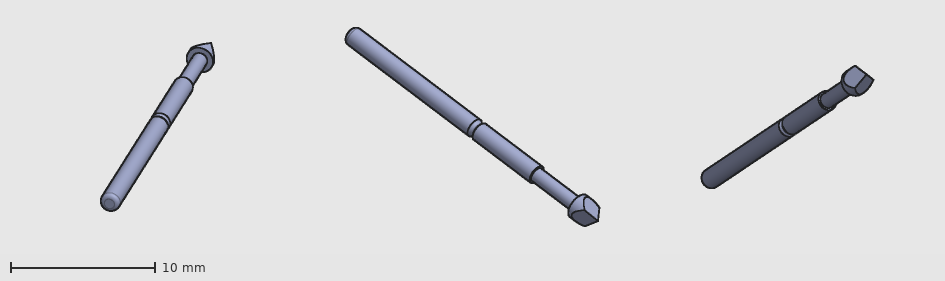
import cadquery as cq
import math

total_length = 24.6
tip_y = 0.0
rear_y = tip_y - total_length

barrel_radius = 0.70
barrel_length = 18.5
barrel_front_y = rear_y + barrel_length
rear_round = 0.33

groove_front_y = -11.77
groove_front_width = 0.2
groove_rear_width = 0.3
groove_radius = 0.55

shaft_radius = 0.55
head_diameter = 1.91
head_radius = head_diameter / 2
head_length = 2.0

flat_angle = 30.0
face_count = 3


def make_barrel():
    """Barrel along Y with a rounded rear rim."""
    barrel = cq.Workplane("XZ", origin=(0, barrel_front_y, 0)).circle(barrel_radius).extrude(barrel_length)
    return barrel.faces("<Y").edges().fillet(rear_round)


def groove_arc_middle(floor_y, width):
    """Middle of the arc that leaves the groove floor along the axis and meets the barrel wall.

    A positive width runs toward the point, a negative one toward the rear.
    """
    depth = barrel_radius - groove_radius
    arc_radius = (width**2 + depth**2) / (2 * depth)
    half_sweep = math.atan2(depth, abs(width))
    x = groove_radius + arc_radius * (1 - math.cos(half_sweep))
    y = floor_y + math.copysign(arc_radius * math.sin(half_sweep), width)
    return (x, y)


def make_groove():
    """Ring cut out of the barrel: two arcs that meet tangentially at the deepest circle."""
    floor_y = groove_front_y - groove_front_width
    rear_end_y = floor_y - groove_rear_width
    profile = (
        cq.Workplane("XY")
        .moveTo(barrel_radius, groove_front_y)
        .threePointArc(groove_arc_middle(floor_y, groove_front_width), (groove_radius, floor_y))
        .threePointArc(groove_arc_middle(floor_y, -groove_rear_width), (barrel_radius, rear_end_y))
        .close()
    )
    return profile.revolve(360, (0, 0, 0), (0, 1, 0))


def make_shaft():
    """Thin shaft between the barrel and the head."""
    front_y = tip_y - head_length
    length = front_y - barrel_front_y
    return cq.Workplane("XZ", origin=(0, front_y, 0)).circle(shaft_radius).extrude(length)


def make_head():
    """Cylindrical head cut to a three-sided point."""
    head = cq.Workplane("XZ", origin=(0, tip_y, 0)).circle(head_radius).extrude(head_length)
    base_y = tip_y - head_length
    flat_reach = head_length * math.tan(math.radians(flat_angle))
    edge_reach = flat_reach / math.cos(math.pi / face_count)
    corners = []
    for index in range(face_count):
        angle = math.pi + index * 2 * math.pi / face_count
        corners.append(cq.Vector(edge_reach * math.cos(angle), base_y, edge_reach * math.sin(angle)))
    tip = cq.Vector(0, tip_y, 0)
    faces = [cq.Face.makeFromWires(cq.Wire.makePolygon(corners, close=True))]
    for index in range(face_count):
        side = [tip, corners[index], corners[(index + 1) % face_count]]
        faces.append(cq.Face.makeFromWires(cq.Wire.makePolygon(side, close=True)))
    point = cq.Solid.makeSolid(cq.Shell.makeShell(faces))
    return head.intersect(cq.Workplane(point))


result = make_barrel().cut(make_groove()).union(make_shaft()).union(make_head())